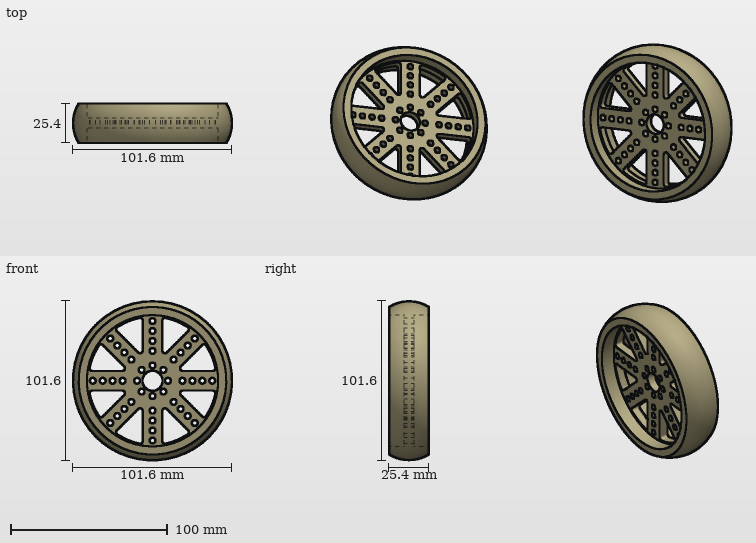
import cadquery as cq
import math

outer_radius = 50.8
width = 25.4
side_face_radius = 47.1
rim_bore_radius = 41.9
web_thickness = 6.35

shaft_radius = 6.35
hub_hole_circle_radius = 9.78
screw_hole_diameter = 3.6

spoke_count = 8
spoke_width = 12.7
spoke_hole_first_radius = 19.05
spoke_hole_pitch = 6.35
spoke_hole_count = 4
window_outer_radius = 40.9
window_corner_radius = 1.6

spoke_angle = 360 / spoke_count
half_width = width / 2


def centred_plane(length):
    """Sketch plane from which extruding by length ends up centred across the width."""
    return cq.Workplane("XZ", origin=(0, length / 2, 0))


def disc(radius, length):
    """Cylinder on the wheel axis, centred across the width."""
    return centred_plane(length).circle(radius).extrude(length)


def make_tire():
    """Solid of revolution with a crowned tread."""
    return (
        cq.Workplane("YZ")
        .moveTo(-half_width, 0)
        .lineTo(-half_width, side_face_radius)
        .threePointArc((0, outer_radius), (half_width, side_face_radius))
        .lineTo(half_width, 0)
        .close()
        .revolve(360, (0, 0, 0), (1, 0, 0))
    )


def make_recesses():
    """Bore of the rim on both sides of the web."""
    return disc(rim_bore_radius, width).cut(disc(outer_radius, web_thickness))


def make_window():
    """Rounded sector between the first two spokes, edges parallel to the spokes."""
    half_spoke = spoke_width / 2
    half_angle = math.radians(spoke_angle / 2)
    inner_corner_radius = half_spoke / math.sin(half_angle)
    edge_angle = math.asin(half_spoke / window_outer_radius)

    def polar(radius, angle):
        return (radius * math.cos(angle), radius * math.sin(angle))

    return (
        centred_plane(web_thickness)
        .moveTo(*polar(inner_corner_radius, half_angle))
        .lineTo(*polar(window_outer_radius, edge_angle))
        .threePointArc(
            polar(window_outer_radius, half_angle),
            polar(window_outer_radius, 2 * half_angle - edge_angle),
        )
        .close()
        .extrude(web_thickness)
        .edges("|Y")
        .fillet(window_corner_radius)
    )


def cut_windows(body):
    window = make_window()
    for i in range(spoke_count):
        body = body.cut(window.rotate((0, 0, 0), (0, 1, 0), i * spoke_angle))
    return body


def make_hole_ring(radius):
    """Cutters for one screw hole per spoke at the given radius."""
    return (
        centred_plane(web_thickness)
        .polarArray(radius, 0, 360, spoke_count)
        .circle(screw_hole_diameter / 2)
        .extrude(web_thickness)
    )


def cut_screw_holes(body):
    """Hub hole circle and the rows of holes along the spokes."""
    body = body.cut(make_hole_ring(hub_hole_circle_radius))
    for i in range(spoke_hole_count):
        body = body.cut(make_hole_ring(spoke_hole_first_radius + i * spoke_hole_pitch))
    return body


wheel = make_tire().cut(make_recesses())
wheel = cut_windows(wheel)
wheel = cut_screw_holes(wheel)
result = wheel.cut(disc(shaft_radius, web_thickness))